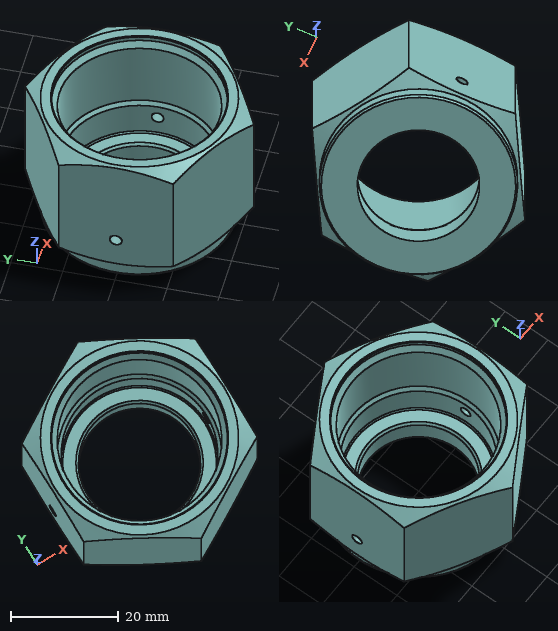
import cadquery as cq
import math

across_corners = 44.0
height = 28.5
collar_diameter = 37.0
collar_height = 3.05
collar_chamfer_width = 0.35
collar_chamfer_height = 0.53
corner_chamfer_angle = 30.0

mouth_diameter = 32.8
mouth_depth = 1.05
mouth_edge_chamfer = 0.18
main_diameter = 30.7
main_depth = 15.6
lower_diameter = 29.3
floor_thickness = 5.3
floor_chamfer = 0.3

opening_diameter = 22.8
opening_chamfer = 0.5

cross_hole_diameter = 2.3
cross_hole_height = 9.4

corner_radius = across_corners / 2
collar_radius = collar_diameter / 2
mouth_radius = mouth_diameter / 2
main_radius = main_diameter / 2
lower_radius = lower_diameter / 2
opening_radius = opening_diameter / 2


def revolve_profile(points):
    """Turn a closed (radius, height) outline about the Z axis."""
    return cq.Workplane("XZ").polyline(points).close().revolve(360, (0, 0), (0, 1))


def make_body():
    """Hexagon with conical corner chamfers above a round collar."""
    hexagon = (
        cq.Workplane("XY")
        .polygon(6, across_corners)
        .extrude(height)
        .rotate((0, 0, 0), (0, 0, 1), 90)
    )
    chamfer_drop = (corner_radius - collar_radius) * math.tan(math.radians(corner_chamfer_angle))
    envelope = revolve_profile([
        (0, 0),
        (collar_radius - collar_chamfer_width, 0),
        (collar_radius, collar_chamfer_height),
        (collar_radius, collar_height),
        (corner_radius, collar_height + chamfer_drop),
        (corner_radius, height - chamfer_drop),
        (collar_radius, height),
        (0, height),
    ])
    return hexagon.intersect(envelope)


def make_bore():
    """Stepped bore with 45 degree transitions and a chamfered floor opening."""
    mouth_bottom = height - mouth_depth
    main_top = mouth_bottom - (mouth_radius - main_radius)
    main_bottom = height - main_depth
    lower_top = main_bottom - (main_radius - lower_radius)
    return revolve_profile([
        (0, 0),
        (opening_radius, 0),
        (opening_radius, floor_thickness - opening_chamfer),
        (opening_radius + opening_chamfer, floor_thickness),
        (lower_radius - floor_chamfer, floor_thickness),
        (lower_radius, floor_thickness + floor_chamfer),
        (lower_radius, lower_top),
        (main_radius, main_bottom),
        (main_radius, main_top),
        (mouth_radius, mouth_bottom),
        (mouth_radius, height - mouth_edge_chamfer),
        (mouth_radius + mouth_edge_chamfer, height),
        (0, height),
    ])


def make_cross_hole():
    """Round hole along X through both walls."""
    return (
        cq.Workplane("YZ")
        .center(0, cross_hole_height)
        .circle(cross_hole_diameter / 2)
        .extrude(corner_radius, both=True)
    )


result = make_body().cut(make_bore()).cut(make_cross_hole())